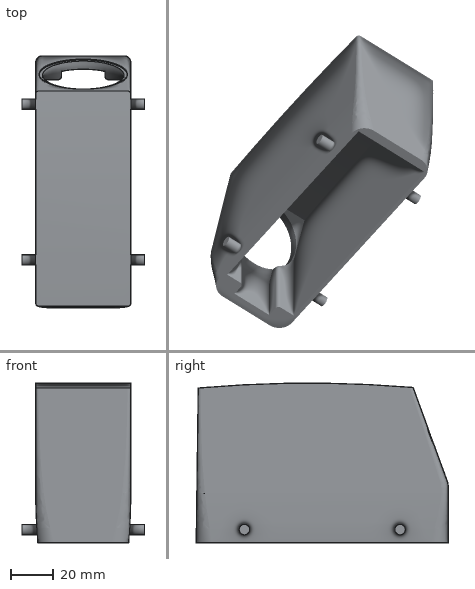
import cadquery as cq
import math

length = 120.0
half_length = length / 2
crown_height = 76.0
rear_top_height = 73.9
front_top_height = 73.65
front_draft = 0.75

slope_angle = 20.0
bend_start_height = 26.1
bend_radius = 10.0

half_width = 22.65
side_arc_top = 23.5
skirt_height = 6.6
side_arc_radius = 250.0

base_corner_radius = 7.6
skirt_corner_radius = 6.5
front_corner_radius = 4.0
rear_corner_radius = 3.3
bend_corner_radius = 3.2
roof_corner_radius = 1.5

wall = 4.65
cavity_half_width = 19.7
rear_post_face = 48.6
post_gap = 20.6
post_edge_radius = 1.7

entry_y = 51.3
entry_radius = 19.35
seat_radius = 20.95
seat_depth = 0.5

pin_diameter = 5.0
pin_span = 58.4
pin_spacing = 74.0
pin_height = 6.3

slope = math.radians(slope_angle)
bend_end_y = half_length - bend_radius * (1 - math.cos(slope))
bend_end_height = bend_start_height + bend_radius * math.sin(slope)
height_tolerance = 0.01


def side_outline(inset):
    """Closed Y-Z outline of the hood, moved inward by inset everywhere but at the base."""
    radius = bend_radius - inset
    rear = half_length - inset

    def bend_point(angle):
        return (rear - radius * (1 - math.cos(angle)), bend_start_height + radius * math.sin(angle))

    def front_point(height):
        return (inset - half_length + height * math.tan(math.radians(front_draft)), height)

    bend_end = bend_point(slope)
    rear_top_z = rear_top_height - inset
    rear_top = (bend_end[0] - (rear_top_z - bend_end[1]) * math.tan(slope), rear_top_z)
    front_top = front_point(front_top_height - inset)
    crown = ((rear_top[0] + front_top[0]) / 2, crown_height - inset)
    return (
        cq.Workplane("YZ")
        .moveTo(*front_point(0))
        .lineTo(rear, 0)
        .lineTo(rear, bend_start_height)
        .threePointArc(bend_point(slope / 2), bend_end)
        .lineTo(*rear_top)
        .threePointArc(crown, front_top)
        .close()
    )


def end_outline():
    """Closed X-Z outline: upright sides that curve inward towards the base."""
    skirt_angle = math.asin((side_arc_top - skirt_height) / side_arc_radius)

    def arc_point(angle):
        x = half_width - side_arc_radius * (1 - math.cos(angle))
        return (x, side_arc_top - side_arc_radius * math.sin(angle))

    def mirrored(point):
        return (-point[0], point[1])

    skirt = arc_point(skirt_angle)
    middle = arc_point(skirt_angle / 2)
    base = (skirt[0] - skirt_height * math.tan(skirt_angle), 0)
    cut_top = 2 * crown_height
    return (
        cq.Workplane("XZ")
        .moveTo(*base)
        .lineTo(*skirt)
        .threePointArc(middle, (half_width, side_arc_top))
        .lineTo(half_width, cut_top)
        .lineTo(-half_width, cut_top)
        .lineTo(-half_width, side_arc_top)
        .threePointArc(mirrored(middle), mirrored(skirt))
        .lineTo(*mirrored(base))
        .close()
    )


def corner_radius(point):
    """Corner rounding radius wanted at a vertex of one of the four upright corners."""
    steps = [(0, base_corner_radius), (skirt_height, skirt_corner_radius)]
    if point.Y < 0:
        steps += [
            (side_arc_top, front_corner_radius),
            (front_top_height, roof_corner_radius),
        ]
    else:
        steps += [
            (side_arc_top, rear_corner_radius),
            (bend_start_height, rear_corner_radius),
            (bend_end_height, bend_corner_radius),
            (rear_top_height, roof_corner_radius),
        ]
    return min(steps, key=lambda step: abs(step[0] - point.Z))[1]


def is_upright_corner(edge):
    """True for edges joining a side wall to the front or rear wall."""
    rise = abs(edge.startPoint().z - edge.endPoint().z)
    return rise > height_tolerance and edge.Center().z < front_top_height


def round_corners(solid):
    """Round the upright corners with radii that taper from base to roof."""
    fillet = cq.occ_impl.shapes.BRepFilletAPI_MakeFillet(solid.wrapped)
    corner_edges = [edge for edge in solid.Edges() if is_upright_corner(edge)]
    for edge in corner_edges:
        fillet.Add(edge.wrapped)
    for edge in corner_edges:
        contour = fillet.Contour(edge.wrapped)
        for vertex in edge.Vertices():
            fillet.SetRadius(corner_radius(vertex), contour, vertex.wrapped)
    return cq.Shape.cast(fillet.Shape())


def make_shell():
    """Outer body of the hood, still solid."""
    block = side_outline(0).extrude(half_width, both=True)
    block = block.intersect(end_outline().extrude(length, both=True))
    return cq.Workplane(round_corners(block.val()))


def make_cavity():
    """Inner space, open at the base, with two posts left standing at the rear."""
    cavity = side_outline(wall).extrude(cavity_half_width, both=True)
    post_width = half_width - post_gap / 2
    post_depth = half_length - rear_post_face
    for side in (-1, 1):
        gap_edge = (side * post_gap / 2, rear_post_face, crown_height / 2)
        post = (
            cq.Workplane("XY")
            .box(post_width, post_depth, crown_height, centered=(True, False, False))
            .translate((side * (post_gap + post_width) / 2, rear_post_face, 0))
            .edges(cq.selectors.NearestToPointSelector(gap_edge))
            .fillet(post_edge_radius)
        )
        cavity = cavity.cut(post)
    return cavity


def make_entry():
    """Cable entry bore with a shallow wider seat, square to the sloping rear wall."""
    outward = cq.Vector(0, math.cos(slope), math.sin(slope))
    center = cq.Vector(0, entry_y, bend_end_height + (bend_end_y - entry_y) / math.tan(slope))
    bore_depth = entry_radius + wall
    bore = cq.Solid.makeCylinder(entry_radius, bore_depth, center, -outward)
    seat = cq.Solid.makeCylinder(seat_radius, seat_depth, center, -outward)
    return cq.Workplane(bore).union(cq.Workplane(seat))


def make_pins():
    """Two round locking pins standing out of each side wall."""
    pin_length = pin_span / 2 - cavity_half_width
    pins = []
    for side in (-1, 1):
        for end in (-1, 1):
            root = cq.Vector(side * cavity_half_width, end * pin_spacing / 2, pin_height)
            outward = cq.Vector(side, 0, 0)
            pins.append(cq.Solid.makeCylinder(pin_diameter / 2, pin_length, root, outward))
    return pins


result = make_shell().cut(make_cavity()).cut(make_entry())
for pin in make_pins():
    result = result.union(cq.Workplane(pin))